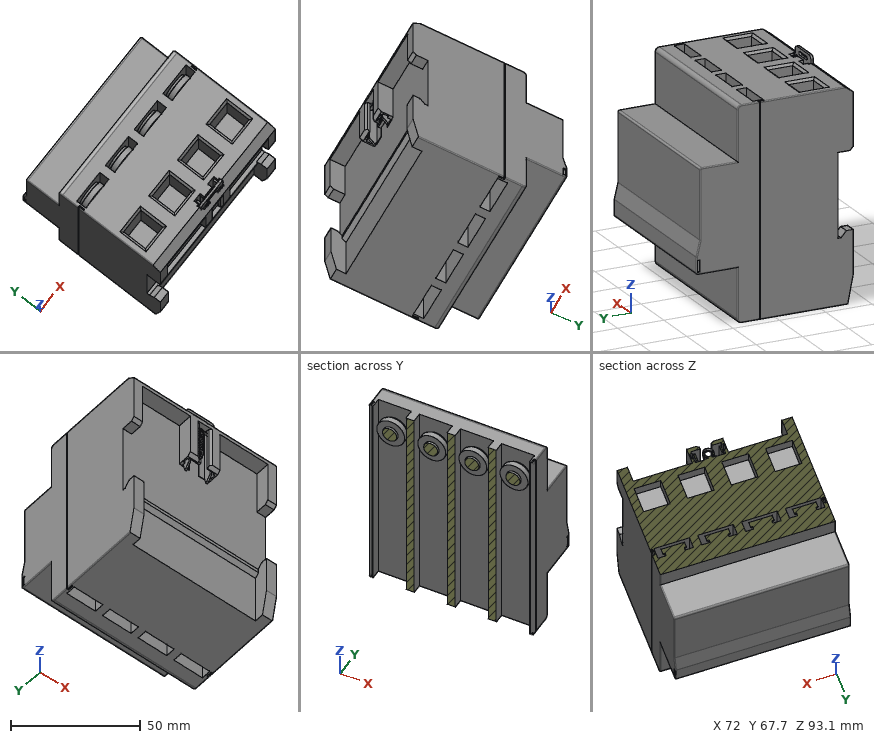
import cadquery as cq

width = 72.0
half_width = width / 2
height = 90.0
shoulder_y = 50.0
nose_y = 66.1
bulge_y = 67.7
nose_bottom = 23.0
nose_top = 66.8
bulge_top = 30.3
bulge_foot = 37.0
rail_y = 6.6
rail_bottom = 28.0
rail_top = 63.4
hook_edge = 1.5
jaw_y = 5.3
jaw_tip_y = 3.0
jaw_top = 30.6
back_chamfer_y = 3.7
back_chamfer_z = 2.6
foot_y = 2.4
foot_top = 12.0
shoulder_radius = 1.8
nose_radius = 0.8
side_radius = 0.4

recess_top = 85.4
upper_leg_width = 4.4
lower_leg_width = 5.1
lip_y = 4.75
lip_face_bottom = 26.3
lip_bottom = 24.6

guide_half = 7.5
gap_half = 2.4
gap_bevel_x = 1.2
gap_bevel_y = 0.7
clip_slot_half = 6.9
clip_slot_back = 4.8
clip_slot_front = 2.6
channel_half = 6.15
channel_back = 6.8
channel_front = 1.8
plate_back = 3.9
plate_front = 2.8
plate_top = 93.1
plate_bottom = recess_top
plate_radius = 1.7
plate_hole_length = 7.1
plate_hole_height = 1.4
plate_hole_z = 90.9
prong_x = 5.3
prong_width = 0.8
prong_top = 89.4
prong_back = 6.3
prong_front = 2.9
prong_tip_y = 5.5
prong_tip_z = 60.1
spring_radius = 1.9
wire_radius = 0.4
spring_y = 4.4
seat_front = 5.4
seat_bottom = 69.9
seat_top = 72.2
spring_pitch = 1.0

terminal_pitch = 18.0
terminal_count = 4
screw_slot_length = 14.4
screw_slot_back = 42.5
screw_slot_front = 38.1
screw_z = 78.0
screw_head_radius = 6.1
screw_head_front = 39.1
screw_head_back = 41.5
screw_collar_radius = 5.4
screw_shank_radius = 3.2
wire_hole = 12.8
wire_hole_floor = 10.8
wire_hole_y = 15.5
wire_hole_chamfer = (wire_hole - wire_hole_floor) / 2
wire_hole_depth = 20.0

seam_y = 40.1
seam_width = 0.5
seam_depth = 1.1
seam_lip_y = 38.2
seam_lip_depth = 0.6
nose_recess_y = nose_y
nose_recess_front = 67.2
nose_recess_bottom = 24.0
nose_recess_top = 28.8
nose_recess_depth = 0.5


def block(x0, x1, y0, y1, z0, z1):
    """Box between two opposite corners."""
    return cq.Workplane("XY").box(x1 - x0, y1 - y0, z1 - z0, centered=False).translate((x0, y0, z0))


def side_prism(points, x0, x1):
    """Prism of a (Y, Z) outline between two X positions."""
    return cq.Workplane("YZ").polyline(points).close().extrude(x1 - x0).translate((x0, 0, 0))


def mirrored(shape):
    """Shape together with its mirror image about the YZ plane."""
    return shape.union(shape.mirror("YZ"))


def make_housing():
    outline = [
        (foot_y, 0),
        (shoulder_y, 0),
        (shoulder_y, nose_bottom),
        (bulge_y, nose_bottom),
        (bulge_y, bulge_top),
        (nose_y, bulge_foot),
        (nose_y, nose_top),
        (shoulder_y, nose_top),
        (shoulder_y, height),
        (back_chamfer_y, height),
        (0, height - back_chamfer_z),
        (0, rail_top + hook_edge),
        (hook_edge, rail_top),
        (rail_y, rail_top),
        (rail_y, rail_bottom),
        (jaw_y, rail_bottom),
        (jaw_tip_y, jaw_top),
        (0, jaw_top),
        (0, foot_top),
    ]
    body = side_prism(outline, -half_width, half_width)

    def corner(y, z):
        return cq.selectors.NearestToPointSelector((0, y, z))

    for z in (0, height):
        body = body.edges(corner(shoulder_y, z)).fillet(shoulder_radius)
    body = body.edges(corner(nose_y, nose_top)).fillet(nose_radius)
    body = body.edges(corner(bulge_y, nose_bottom)).fillet(nose_radius)

    front_zone = cq.selectors.BoxSelector(
        (-width, rail_y + hook_edge, -height), (width, width, 2 * height)
    )
    return body.faces("<X or >X").edges(front_zone).fillet(side_radius)


def cut_rail_recesses(body):
    pocket_half = half_width - upper_leg_width
    pocket = block(guide_half, pocket_half, 0, rail_y, rail_top, recess_top)
    body = body.cut(mirrored(pocket))

    lower_half = half_width - lower_leg_width
    lower_void = side_prism(
        [
            (0, 0),
            (rail_y, 0),
            (rail_y, lip_bottom),
            (lip_y, lip_face_bottom),
            (lip_y, rail_bottom),
            (0, rail_bottom),
        ],
        -lower_half,
        lower_half,
    )
    jaw_void = block(-lower_half, lower_half, 0, rail_y, rail_bottom, jaw_top)
    return body.cut(lower_void).cut(jaw_void)


def cut_clip_guide(body):
    gap_mouth = gap_half + gap_bevel_x
    gap = (
        cq.Workplane("XY")
        .polyline([
            (-gap_mouth, 0),
            (gap_mouth, 0),
            (gap_half, gap_bevel_y),
            (gap_half, rail_y),
            (-gap_half, rail_y),
            (-gap_half, gap_bevel_y),
        ])
        .close()
        .extrude(recess_top - rail_top)
        .translate((0, 0, rail_top))
    )
    channel = block(gap_half, channel_half, channel_front, channel_back, rail_top, height)
    slot = block(-clip_slot_half, clip_slot_half, clip_slot_front, clip_slot_back, rail_top, height)
    return body.cut(gap).cut(mirrored(channel)).cut(slot)


def make_clip():
    plate = block(-clip_slot_half, clip_slot_half, plate_front, plate_back, plate_bottom, plate_top)
    plate = plate.edges("|Y and >Z").fillet(plate_radius)
    finger_hole = (
        cq.Workplane("XZ", origin=(0, plate_back, plate_hole_z))
        .slot2D(plate_hole_length, plate_hole_height)
        .extrude(plate_back - plate_front)
    )
    prong_outline = [
        (prong_front, prong_top),
        (prong_front, rail_top),
        (prong_tip_y, prong_tip_z),
        (prong_back, rail_top),
        (prong_back, prong_top),
    ]
    prong = side_prism(prong_outline, prong_x - prong_width / 2, prong_x + prong_width / 2)
    return plate.cut(finger_hole).union(mirrored(prong))


def make_spring():
    coil_height = recess_top - seat_top
    path = cq.Wire.makeHelix(spring_pitch, coil_height, spring_radius)
    coil = (
        cq.Workplane("XZ", origin=(spring_radius, 0, 0))
        .circle(wire_radius)
        .sweep(cq.Workplane(path), isFrenet=True)
        .translate((0, spring_y, seat_top))
    )
    seat = block(-gap_half, gap_half, seat_front, rail_y, seat_bottom, seat_top)
    return seat.union(coil)


def cylinder_y(radius, x, y0, y1, z):
    """Cylinder along Y between two Y positions."""
    return cq.Workplane("XZ", origin=(x, y1, z)).circle(radius).extrude(y1 - y0)


def add_terminals(body):
    for index in range(terminal_count):
        x = (index - (terminal_count - 1) / 2) * terminal_pitch
        half_slot = screw_slot_length / 2
        screw_slot = block(x - half_slot, x + half_slot, screw_slot_front, screw_slot_back, 0, height)
        head = cylinder_y(screw_head_radius, x, screw_head_front, screw_head_back, screw_z)
        collar = cylinder_y(screw_collar_radius, x, screw_head_back, screw_slot_back, screw_z)
        shank = cylinder_y(screw_shank_radius, x, screw_slot_front, screw_head_front, screw_z)
        wire_pocket = (
            cq.Workplane("XY", origin=(x, wire_hole_y, height))
            .rect(wire_hole_floor, wire_hole_floor)
            .extrude(-wire_hole_depth)
        )
        funnel = (
            cq.Workplane("XY", origin=(x, wire_hole_y, height))
            .rect(wire_hole, wire_hole)
            .extrude(-wire_hole_chamfer, taper=45)
        )
        screw = head.union(collar).union(shank)
        body = body.cut(screw_slot).union(screw).cut(wire_pocket).cut(funnel)
    return body


def cut_side_details(body):
    seam_end = seam_y + seam_width
    inner = half_width - seam_depth
    seam = block(inner, half_width, seam_y, seam_end, 0, height)
    seam_lip = block(inner, half_width - seam_lip_depth, seam_lip_y, seam_end, 0, height)
    nose_recess = block(
        half_width - nose_recess_depth, half_width,
        nose_recess_y, nose_recess_front,
        nose_recess_bottom, nose_recess_top,
    )
    return body.cut(mirrored(seam.union(seam_lip))).cut(mirrored(nose_recess))


housing = make_housing()
housing = cut_rail_recesses(housing)
housing = cut_clip_guide(housing)
housing = add_terminals(housing)
housing = cut_side_details(housing)
result = housing.union(make_clip()).union(make_spring())